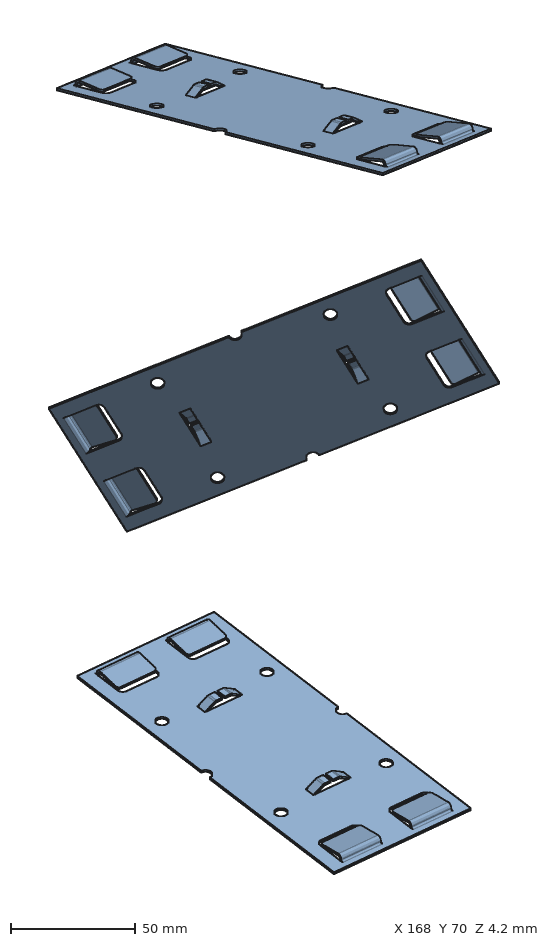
import cadquery as cq
import math

length = 168.0
width = 70.0
height = 4.2
sheet = 1.0
inner_radius = 0.8
outer_radius = inner_radius + sheet

hole_diameter = 5.5
hole_x = 39.0
hole_y = 26.9

tab_y = 18.0
tab_width = 20.3
tab_root_x = length / 2 - 3.2
tab_reach = 14.6
tab_droop = 8.0
tab_corner_radius = 1.7
window_length = 17.1
window_corner_radius = 2.5

bridge_x = 35.5
bridge_width = 4.9
bridge_gap = 1.3
bridge_flat_end = 3.5
bridge_slope = 30.0


def polar(center, radius, degrees):
    angle = math.radians(degrees)
    return (center[0] + radius * math.cos(angle), center[1] + radius * math.sin(angle))


def make_plate():
    plate = cq.Workplane("XY").box(length, width, sheet, centered=(True, True, False))
    hole_points = [(x, y) for x in (-hole_x, hole_x) for y in (-hole_y, hole_y)]
    notch_points = [(0, -width / 2), (0, width / 2)]
    cutters = cq.Workplane("XY").pushPoints(hole_points + notch_points)
    return plate.cut(cutters.circle(hole_diameter / 2).extrude(sheet))


def make_tab_window():
    """Window of one tab, running in +X from the root of the tab at X = 0."""
    window = cq.Workplane("XY").box(window_length, tab_width, sheet, centered=(False, True, False))
    return window.edges("|Z and >X").fillet(window_corner_radius)


def make_tab():
    """One tab: an S-bend up from the root at X = 0, then a flap drooping towards +X."""
    bend_height = sheet + inner_radius
    foot = (0, bend_height)
    crest = (inner_radius + outer_radius, bend_height)
    flap_normal = 90 - tab_droop
    bend_middle = (180 + flap_normal) / 2
    outer_start = polar(crest, outer_radius, flap_normal)
    inner_start = polar(crest, inner_radius, flap_normal)
    flap_length = (tab_reach - outer_start[0]) / math.cos(math.radians(tab_droop))
    outer_end = polar(outer_start, flap_length, -tab_droop)
    inner_end = polar(inner_start, flap_length, -tab_droop)

    tab = (
        cq.Workplane("XZ")
        .moveTo(0, sheet)
        .threePointArc(polar(foot, inner_radius, -45), (inner_radius, bend_height))
        .threePointArc(polar(crest, outer_radius, bend_middle), outer_start)
        .lineTo(*outer_end)
        .lineTo(*inner_end)
        .lineTo(*inner_start)
        .threePointArc(polar(crest, inner_radius, bend_middle), (outer_radius, bend_height))
        .threePointArc(polar(foot, outer_radius, -45), (0, 0))
        .close()
        .extrude(tab_width / 2, both=True)
    )
    tip_corners = cq.selectors.BoxSelector(
        (tab_reach - sheet, -tab_width, 0), (tab_reach + sheet, tab_width, height)
    )
    return tab.edges(tip_corners).edges("not |Y").edges("<Y or >Y").fillet(tab_corner_radius)


def place_tabs(shape):
    """Copies of a tab shape at both short edges, pointing inwards."""
    left = shape.translate((-tab_root_x, 0, 0))
    right = left.mirror("YZ")
    copies = cq.Workplane("XY")
    for side in (left, right):
        for y in (-tab_y, tab_y):
            copies = copies.add(side.translate((0, y, 0)))
    return copies.combine()


bend_center = (bridge_flat_end, height - outer_radius)
ramp_normal = 90 - bridge_slope
ramp_top = polar(bend_center, outer_radius, ramp_normal)
bridge_end = ramp_top[0] + (ramp_top[1] - sheet) / math.tan(math.radians(bridge_slope))
bridge_foot = bridge_end + sheet * math.tan(math.radians(bridge_slope / 2))


def make_bridge_opening():
    return cq.Workplane("XY").box(bridge_width, 2 * bridge_end, sheet, centered=(True, True, False))


def make_bridge():
    """Two mirrored arms, each with a flat end, a bend and a ramp into the sheet."""
    bend_middle = (90 + ramp_normal) / 2
    arm = (
        cq.Workplane("YZ")
        .moveTo(bridge_gap / 2, height)
        .lineTo(bridge_flat_end, height)
        .threePointArc(polar(bend_center, outer_radius, bend_middle), ramp_top)
        .lineTo(bridge_end, sheet)
        .lineTo(bridge_foot, 0)
        .lineTo(*polar(bend_center, inner_radius, ramp_normal))
        .threePointArc(
            polar(bend_center, inner_radius, bend_middle), (bridge_flat_end, height - sheet)
        )
        .lineTo(bridge_gap / 2, height - sheet)
        .close()
        .extrude(bridge_width / 2, both=True)
    )
    return arm.union(arm.mirror("XZ"))


result = make_plate().cut(place_tabs(make_tab_window())).union(place_tabs(make_tab()))
for x in (-bridge_x, bridge_x):
    result = result.cut(make_bridge_opening().translate((x, 0, 0)))
    result = result.union(make_bridge().translate((x, 0, 0)))